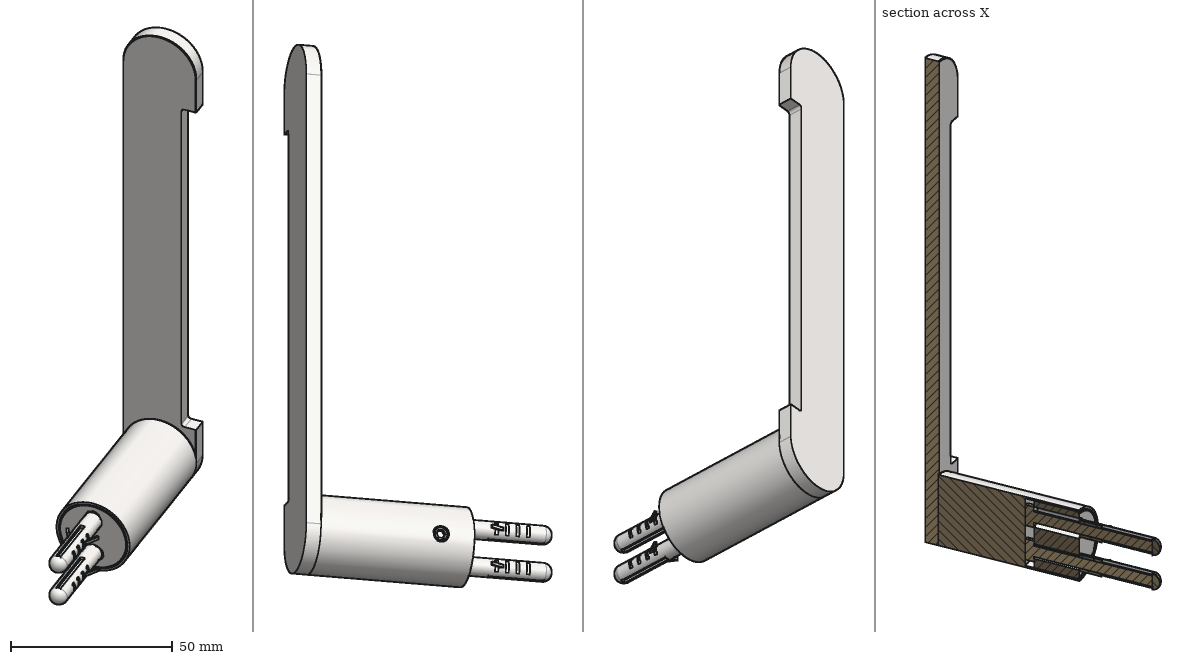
import cadquery as cq
import math


width = 25.0
end_radius = width / 2
handle_height = 170.0
handle_thickness = 5.0
edge_chamfer = 0.25
notch_depth = 5.0
tab_height = 25.0
notch_fillet = 1.0
handle_top = handle_height - end_radius
upper_arc_z = handle_top - end_radius
notch_x = end_radius - notch_depth
notch_bottom_z = tab_height - end_radius
notch_top_z = handle_top - tab_height

seat_depth = edge_chamfer
post_length = 49.5
post_start = handle_thickness - seat_depth
post_end = post_start + post_length
bore_radius = 11.7

base_length = 16.0
base_chamfer = 0.5
base_start = post_end - base_length
slot_length = 7.0
slot_width = 5.0
anchor_z = 6.0

set_screw_radius = 2.5
set_screw_from_end = 10.75
set_screw_y = post_end - set_screw_from_end
set_screw_recess = 0.3
set_screw_length = 3.0
set_screw_chamfer = 0.5
socket_across_flats = 2.5
socket_depth = 1.5

shank_radius = 2.0
head_radius = 3.75
head_height = 3.0
bore_depth = base_length + head_height

total_depth = 82.63
plug_radius = 3.0
dome_start = 80.0
dome_height = total_depth - dome_start
shank_end = dome_start
slit_width = 1.5
slit_start = 62.0
tooth_pitch = 3.4
tooth_count = 4
first_tooth = 64.2
tooth_width = 1.0
tooth_depth = 0.6
wing_tip_x = 5.5
wing_start = 61.8
wing_thickness = 0.7
wing_height = 1.0
wing_length = 4.8
wing_angle = math.radians(30)


def rod(radius, start, end, z=0.0):
    """Cylinder along -Y between two distances from the back of the handle."""
    return (
        cq.Workplane("XZ", origin=(0, -start, z))
        .circle(radius)
        .extrude(end - start)
    )


def make_handle():
    """Round-ended plate, bevelled at the front, notched on +X between two tabs."""
    outline = (
        cq.Workplane("XZ")
        .moveTo(-end_radius, 0)
        .lineTo(-end_radius, upper_arc_z)
        .threePointArc((0, handle_top), (end_radius, upper_arc_z))
        .lineTo(end_radius, 0)
        .threePointArc((0, -end_radius), (-end_radius, 0))
        .close()
    )
    plate = outline.extrude(handle_thickness).faces("<Y").chamfer(edge_chamfer)
    notch = (
        cq.Workplane("XZ")
        .moveTo(notch_x, notch_bottom_z)
        .lineTo(width, notch_bottom_z)
        .lineTo(width, notch_top_z)
        .lineTo(notch_x, notch_top_z)
        .close()
        .extrude(handle_thickness)
        .edges("|Y and <X")
        .fillet(notch_fillet)
    )
    seat = rod(end_radius, post_start, handle_thickness)
    return plate.cut(notch).cut(seat)


def make_set_screw_bore():
    """Radial cylinder from the -X side of the post to the inner end of the set screw."""
    return (
        cq.Workplane("YZ", origin=(-end_radius, -set_screw_y, 0))
        .circle(set_screw_radius)
        .extrude(set_screw_recess + set_screw_length)
    )


def make_post():
    """Cylinder with a blind bore for the base and the screw heads."""
    body = rod(end_radius, post_start, post_end)
    bore = rod(bore_radius, post_end - bore_depth, post_end)
    return body.cut(bore).cut(make_set_screw_bore())


def make_base():
    """Cylinder flush with the post end, with one vertical and one horizontal screw slot."""
    base = rod(bore_radius, base_start, post_end).faces("<Y").chamfer(base_chamfer)
    for z, angle in ((anchor_z, 90), (-anchor_z, 0)):
        slot = (
            cq.Workplane("XZ", origin=(0, -base_start, z))
            .slot2D(slot_length, slot_width, angle)
            .extrude(base_length)
        )
        base = base.cut(slot)
    return base.cut(make_set_screw_bore())


def make_set_screw():
    """Headless screw with a bevelled rim and a hexagon socket."""
    outer_x = set_screw_recess - end_radius
    screw = (
        cq.Workplane("YZ", origin=(outer_x, -set_screw_y, 0))
        .circle(set_screw_radius)
        .extrude(set_screw_length)
        .faces("<X")
        .chamfer(set_screw_chamfer)
    )
    socket = (
        cq.Workplane("YZ", origin=(outer_x, -set_screw_y, 0))
        .polygon(6, socket_across_flats / math.cos(math.pi / 6))
        .extrude(socket_depth)
    )
    return screw.cut(socket)


def make_mounting_screw(z):
    """Screw whose head bears on the inner face of the base."""
    head = rod(head_radius, base_start - head_height, base_start, z=z)
    return head.union(rod(shank_radius, base_start, shank_end, z=z))


def make_wing(side, z):
    """Barb that leans out from the plug towards the post; side is -1 or 1."""
    lean_x = wing_length * math.sin(wing_angle)
    lean_y = wing_length * math.cos(wing_angle)
    across_x = wing_thickness * math.cos(wing_angle)
    across_y = wing_thickness * math.sin(wing_angle)
    tip = (wing_tip_x, wing_start + across_y)
    inner_tip = (wing_tip_x - across_x, wing_start)
    corners = [
        tip,
        inner_tip,
        (inner_tip[0] - lean_x, inner_tip[1] + lean_y),
        (tip[0] - lean_x, tip[1] + lean_y),
    ]
    return (
        cq.Workplane("XY", origin=(0, 0, z))
        .polyline([(side * x, -y) for x, y in corners])
        .close()
        .extrude(wing_height / 2, both=True)
    )


def make_plug(z):
    """Domed wall plug with a lengthwise slit, side teeth, two barbs and a screw bore."""
    plane = cq.Workplane("XY", origin=(0, 0, z))
    dome_radius = (plug_radius**2 + dome_height**2) / (2 * dome_height)
    half_angle = math.asin(plug_radius / dome_radius) / 2
    dome_mid = (
        dome_radius * math.sin(half_angle),
        -total_depth + dome_radius * (1 - math.cos(half_angle)),
    )
    plug = (
        plane.moveTo(0, -post_end)
        .lineTo(plug_radius, -post_end)
        .lineTo(plug_radius, -dome_start)
        .threePointArc(dome_mid, (0, -total_depth))
        .close()
        .revolve(360, (0, 0, 0), (0, 1, 0))
    )
    slit = plane.center(0, -(slit_start + dome_start) / 2).rect(slit_width, dome_start - slit_start)
    plug = plug.cut(slit.extrude(plug_radius, both=True))
    for side in (-1, 1):
        for index in range(tooth_count):
            y = -(first_tooth + index * tooth_pitch)
            tooth_gap = plane.center(side * plug_radius, y).rect(2 * tooth_depth, tooth_width)
            plug = plug.cut(tooth_gap.extrude(plug_radius, both=True))
        wing = make_wing(side, z)
        plug = plug.union(wing)
    return plug.cut(rod(shank_radius, post_end, shank_end, z=z))


bodies = [make_handle(), make_post(), make_base(), make_set_screw()]
for anchor in (anchor_z, -anchor_z):
    bodies += [make_mounting_screw(anchor), make_plug(anchor)]

result = cq.Compound.makeCompound([body.val() for body in bodies])